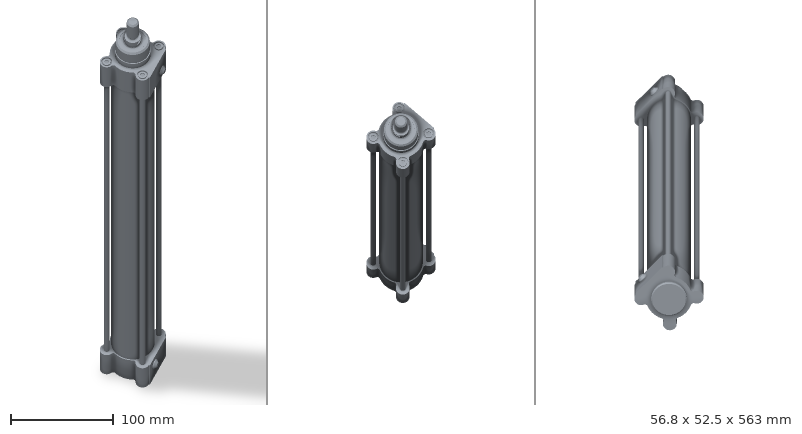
import cadquery as cq
import math

total_length = 563.0
rear_spigot_height = 4.0
rear_cap_top = 35.5
front_cap_bottom = 477.0
front_cap_top = 509.5
collar_ring_top = 517.0
collar_top = 532.0
rod_shoulder_top = 538.0
thread_bottom = 540.5

tie_rod_spacing = 38.5
tie_rod_offset = tie_rod_spacing / 2
lobe_radius = 7.0
cap_body_radius = 22.5
lobe_fillet = 3.0
plate_face = 27.0

spigot_diameter = 35.0
spigot_chamfer = 1.0
collar_diameter = 33.0
collar_chamfer = 1.5
wiper_recess_diameter = 26.0
wiper_recess_depth = 0.5
wiper_seat_diameter = 19.0
wiper_seat_depth = 1.5

screw_offset = 8.5
screw_inset = 10.5
screw_diameter = 10.0
screw_projection = 3.5
screw_chamfer = 2.55

tube_outer_radius = 21.5
tube_wall = 1.5

tie_rod_diameter = 5.5
head_diameter = 8.0
head_height = 1.5
head_socket_diameter = 4.5
head_socket_depth = 1.0
counterbore_diameter = 10.5

piston_rod_diameter = 16.0
flats_width = 13.0
flats_bottom = 534.0
flats_top = 537.0
thread_diameter = 12.0
thread_relief_diameter = 8.0
thread_tip_chamfer = 1.5
thread_root_chamfer = 1.5

corners = [(sx * tie_rod_offset, sy * tie_rod_offset) for sx in (-1, 1) for sy in (-1, 1)]


def cylinder(diameter, bottom, top, center=(0, 0)):
    base = cq.Workplane("XY", origin=(*center, bottom))
    return base.circle(diameter / 2).extrude(top - bottom)


def lobe_corner_points(z):
    """Points where the lobes meet the round body, except those covered by the +X plate."""
    lobe_distance = math.hypot(tie_rod_offset, tie_rod_offset)
    cosine = (cap_body_radius**2 + lobe_distance**2 - lobe_radius**2) / (2 * cap_body_radius * lobe_distance)
    spread = math.acos(cosine)
    points = []
    for x, y in corners:
        for side in (-1, 1):
            angle = math.atan2(y, x) + side * spread
            px = cap_body_radius * math.cos(angle)
            py = cap_body_radius * math.sin(angle)
            if px < abs(py):
                points.append((px, py, z))
    return points


def cap_block(bottom, top):
    block = cylinder(2 * cap_body_radius, bottom, top)
    for corner in corners:
        block = block.union(cylinder(2 * lobe_radius, bottom, top, corner))
    for point in lobe_corner_points((bottom + top) / 2):
        block = block.edges("|Z").edges(cq.NearestToPointSelector(point)).fillet(lobe_fillet)
    plate = cq.Workplane("XY", origin=(plate_face / 2, 0, bottom))
    return block.union(plate.rect(plate_face, tie_rod_spacing).extrude(top - bottom))


def cushion_screw(y, z):
    base = cq.Workplane("YZ", origin=(plate_face, y, z)).circle(screw_diameter / 2)
    return base.extrude(screw_projection).faces(">X").chamfer(screw_chamfer)


def make_front_cap():
    cap = cap_block(front_cap_bottom, front_cap_top)
    cap = cap.union(cylinder(spigot_diameter, front_cap_top, collar_ring_top))
    collar = cylinder(collar_diameter, collar_ring_top, collar_top)
    collar = collar.faces(">Z").chamfer(collar_chamfer)
    cap = cap.union(collar)
    cap = cap.union(cushion_screw(screw_offset, front_cap_bottom + screw_inset))
    cap = cap.cut(cylinder(piston_rod_diameter, front_cap_bottom, collar_top))
    cap = cap.cut(cylinder(wiper_recess_diameter, collar_top - wiper_recess_depth, collar_top))
    cap = cap.cut(cylinder(wiper_seat_diameter, collar_top - wiper_seat_depth, collar_top))
    for corner in corners:
        cap = cap.cut(cylinder(tie_rod_diameter, front_cap_bottom, front_cap_top, corner))
        cap = cap.cut(cylinder(counterbore_diameter, front_cap_top - head_height, front_cap_top, corner))
    return cap


def make_rear_cap():
    cap = cap_block(rear_spigot_height, rear_cap_top)
    spigot = cylinder(spigot_diameter, 0, rear_spigot_height).faces("<Z").chamfer(spigot_chamfer)
    cap = cap.union(spigot)
    cap = cap.union(cushion_screw(-screw_offset, rear_cap_top - screw_inset))
    for corner in corners:
        cap = cap.cut(cylinder(tie_rod_diameter, rear_spigot_height, rear_cap_top, corner))
    return cap


def make_tube():
    tube = cylinder(2 * tube_outer_radius, rear_cap_top, front_cap_bottom)
    return tube.cut(cylinder(2 * (tube_outer_radius - tube_wall), rear_cap_top, front_cap_bottom))


def make_tie_rod(corner):
    rod = cylinder(tie_rod_diameter, rear_spigot_height, front_cap_top, corner)
    rod = rod.union(cylinder(head_diameter, front_cap_top - head_height, front_cap_top, corner))
    return rod.cut(cylinder(head_socket_diameter, front_cap_top - head_socket_depth, front_cap_top, corner))


def make_piston_rod():
    rod = cylinder(piston_rod_diameter, front_cap_bottom, rod_shoulder_top)
    flats_ring = cylinder(piston_rod_diameter, flats_bottom, flats_top)
    flats_bar = cq.Workplane("XY", origin=(0, 0, flats_bottom)).rect(flats_width, piston_rod_diameter)
    rod = rod.cut(flats_ring.cut(flats_bar.extrude(flats_top - flats_bottom)))
    thread = cylinder(thread_diameter, thread_bottom, total_length)
    thread = thread.faces(">Z").chamfer(thread_tip_chamfer).faces("<Z").chamfer(thread_root_chamfer)
    rod = rod.union(cylinder(thread_relief_diameter, rod_shoulder_top, thread_bottom))
    return rod.union(thread)


front_cap = make_front_cap()
rear_cap = make_rear_cap()
tube = make_tube()
piston_rod = make_piston_rod()
tie_rods = [make_tie_rod(corner).val() for corner in corners]

result = cq.Compound.makeCompound(
    [front_cap.val(), rear_cap.val(), tube.val(), piston_rod.val(), *tie_rods]
)